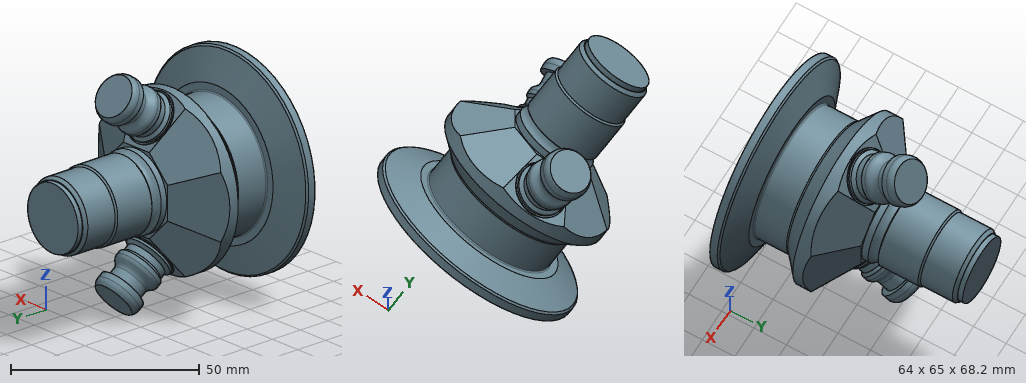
import cadquery as cq
import math

disc_radius = 32.01
disc_rim_height = 2.3
disc_edge_height = 2.85
disc_edge_radius = 31.5
disc_top_radius = 22.5
disc_top = 6.5
neck_radius = 20.01
neck_fillet = 0.35
neck_top = 16.6

head_radius = 26.01
head_cone_bottom = 17.1
head_cone_radius = 20.25
head_drum_bottom = 22.1
head_top = 35.05
facet_count = 8
facet_angle = 36
pyramid_top_apothem = 12.35

flange_radius = 12.0
flange_top = 37.0
groove_radius = 10.85
groove_top = 39.5
sleeve_bottom = 39.8
sleeve_radius = 11.49
sleeve_top = 52.1
sleeve_step_top = 52.65
barrel_radius = 11.01
barrel_top = 62.4
shoulder_radius = 10.2
shoulder_top = 63.5
tip_radius = 9.99
total_length = 65.0

port_edge_distance = 8.1
port_foot_radius = 7.7
port_foot_height = 0.35
port_collar_radius = 7.26
port_collar_height = 1.1
port_waist_radius = 6.24
port_waist_bottom = 2.0
port_waist_top = 3.95
port_bulge_radius = 6.99
port_bulge_bottom = 4.8
port_bulge_top = 6.1
port_neck_radius = 5.25
port_neck_bottom = 9.35
port_cap_bottom = 12.55
port_cap_radius = 6.99
port_cap_side_top = 14.3
port_cap_flat_radius = 6.1
port_height = 16.4
port_root_depth = 2.05

facet_slope = math.tan(math.radians(facet_angle))
facet_foot = head_top - (head_radius - pyramid_top_apothem) * facet_slope


def revolve_about_y(profile):
    """Close a half profile drawn as (radius, height) and turn it about the Y axis."""
    return profile.close().revolve(360, (0, 0, 0), (0, 1, 0))


def make_disc_and_neck():
    return revolve_about_y(
        cq.Workplane("XY")
        .lineTo(disc_radius, 0)
        .lineTo(disc_radius, disc_rim_height)
        .lineTo(disc_edge_radius, disc_edge_height)
        .lineTo(disc_top_radius, disc_top)
        .lineTo(neck_radius + neck_fillet, disc_top)
        .radiusArc((neck_radius, disc_top + neck_fillet), neck_fillet)
        .lineTo(neck_radius, neck_top)
        .lineTo(head_cone_radius, head_cone_bottom)
        .lineTo(head_radius, head_drum_bottom)
        .lineTo(0, head_drum_bottom)
    )


def make_head():
    drum = revolve_about_y(
        cq.Workplane("XY")
        .moveTo(0, head_drum_bottom)
        .lineTo(head_radius, head_drum_bottom)
        .lineTo(head_radius, head_top)
        .lineTo(0, head_top)
    )
    base_apothem = pyramid_top_apothem + (head_top - head_drum_bottom) / facet_slope
    corner_factor = 2 / math.cos(math.pi / facet_count)
    half_facet = 180 / facet_count
    pyramid = (
        cq.Workplane("XY")
        .transformed(rotate=(0, 0, half_facet))
        .polygon(facet_count, base_apothem * corner_factor)
        .workplane(offset=head_top - head_drum_bottom)
        .polygon(facet_count, pyramid_top_apothem * corner_factor)
        .loft(ruled=True)
        .rotate((0, 0, 0), (1, 0, 0), -90)
        .translate((0, head_drum_bottom, 0))
    )
    return drum.intersect(pyramid)


def make_stem():
    return revolve_about_y(
        cq.Workplane("XY")
        .moveTo(0, head_top)
        .lineTo(flange_radius, head_top)
        .lineTo(flange_radius, flange_top)
        .spline([(groove_radius, groove_top)], tangents=[(-1, 1), (0, 1)], includeCurrent=True)
        .lineTo(sleeve_radius, sleeve_bottom)
        .lineTo(sleeve_radius, sleeve_top)
        .lineTo(barrel_radius, sleeve_step_top)
        .lineTo(barrel_radius, barrel_top)
        .lineTo(shoulder_radius, shoulder_top)
        .lineTo(tip_radius, shoulder_top)
        .lineTo(tip_radius, total_length)
        .lineTo(0, total_length)
    )


def make_port():
    """Port on the +Z facet, first turned about Y and then tilted square to the facet."""
    port = revolve_about_y(
        cq.Workplane("XY")
        .moveTo(0, -port_root_depth)
        .lineTo(port_waist_radius, -port_root_depth)
        .lineTo(port_waist_radius, 0)
        .lineTo(port_foot_radius, 0)
        .lineTo(port_foot_radius, port_foot_height)
        .lineTo(port_collar_radius, port_foot_height)
        .lineTo(port_collar_radius, port_collar_height)
        .lineTo(port_waist_radius, port_waist_bottom)
        .lineTo(port_waist_radius, port_waist_top)
        .lineTo(port_bulge_radius, port_bulge_bottom)
        .lineTo(port_bulge_radius, port_bulge_top)
        .spline([(port_neck_radius, port_neck_bottom)], tangents=[(0, 1), (0, 1)], includeCurrent=True)
        .lineTo(port_neck_radius, port_cap_bottom)
        .lineTo(port_cap_radius, port_cap_bottom)
        .lineTo(port_cap_radius, port_cap_side_top)
        .spline(
            [(port_cap_flat_radius, port_height)], tangents=[(0, 1), (-1, 1)], includeCurrent=True
        )
        .lineTo(0, port_height)
    )
    tilt = math.radians(facet_angle)
    centre_y = facet_foot + port_edge_distance * math.sin(tilt)
    centre_z = head_radius - port_edge_distance * math.cos(tilt)
    return port.rotate((0, 0, 0), (1, 0, 0), facet_angle).translate((0, centre_y, centre_z))


port = make_port()
result = make_disc_and_neck().union(make_head()).union(make_stem())
result = result.union(port).union(port.mirror("XY"))